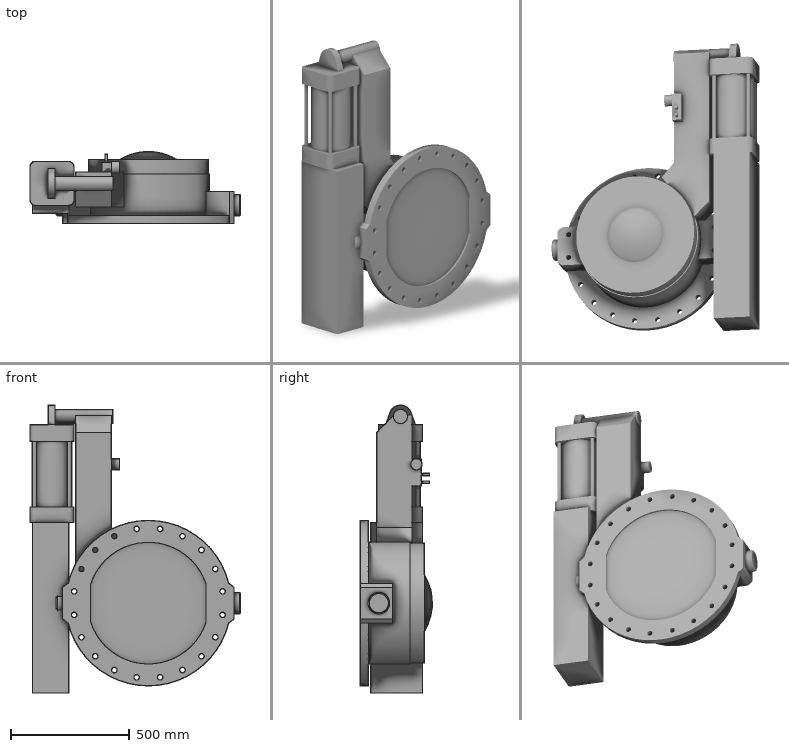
import cadquery as cq
import math


flange_radius = 350
flange_thickness = 35
bolt_circle_radius = 317.5
bolt_hole_diameter = 22
bolt_count = 20
first_hole_angle = 180 / bolt_count
neck_radius = 258
neck_end_y = 210
collar_radius = 254
collar_end_y = 272
recess_radius = 257
recess_half_width = 244
recess_depth = 10
shaft_y = 79
dome_top_y = 306
dome_radius = dome_top_y - shaft_y
lug_reach = 362
lug_half_height = 83
lug_chamfer_run = 20
lug_chamfer_rise = 16
lug_depth = 137
shaft_end_radius = 45.5
shaft_end_reach = 390
shaft_end_chamfer = 5

cylinder_x = -407.5
cylinder_y = 170.5
cap_size = 187
cap_corner_radius = 25
lower_cap_bottom_z = 340
lower_cap_top_z = 407
upper_cap_bottom_z = 684
upper_cap_top_z = 754.74
barrel_radius = 84
rod_radius = 8
rod_offset = 73.5
tab_left_x = -424
tab_right_x = -394
tab_base_half_width = 63

box_left_x = -490
box_right_x = -336
box_front_y = 44
box_back_y = cylinder_y + cap_size / 2
box_bottom_z = -380

arm_left_x = -307
arm_right_x = -156
arm_front_y = 70
arm_back_y = 219
arm_top_z = 795
arm_chamfer = 73
arm_bend_right_z = 320
arm_bend_left_z = 144
foot_right_x = -104
foot_right_z = 258
foot_left_run = 64
pin_radius = 30
pin_z = 789
pin_end_x = -150
tab_top_z = 836.74
tab_tip_radius = tab_top_z - pin_z

switch_left_x = -195
switch_back_y = 259
switch_bottom_z = 496
switch_top_z = 610
knob_radius = 24
knob_y = 238
knob_z = 587
knob_end_x = -122
terminal_x = -178
terminal_heights = (511, 544)
terminal_neck_radius = 4.5
terminal_radius = 6
terminal_neck_end_y = 265
terminal_end_y = 294


def box_between(x_range, y_range, z_range):
    """Block that fills the given ranges along X, Y and Z."""
    size = [end - start for start, end in (x_range, y_range, z_range)]
    corner = (x_range[0], y_range[0], z_range[0])
    return cq.Workplane("XY").box(*size, centered=False).translate(corner)


def rod_along_x(radius, y, z, x_start, x_end):
    return cq.Workplane("YZ", origin=(x_start, y, z)).circle(radius).extrude(x_end - x_start)


def rod_along_y(radius, x, z, y_start, y_end):
    return cq.Workplane("XZ", origin=(x, y_start, z)).circle(radius).extrude(y_start - y_end)


def make_lug_bar():
    """Bar across the flange whose chamfered ends form the two shaft lugs."""
    shoulder_x = lug_reach - lug_chamfer_run
    end_half_height = lug_half_height - lug_chamfer_rise
    quarter = [(shoulder_x, lug_half_height), (lug_reach, end_half_height)]
    right_side = quarter + [(x, -z) for x, z in reversed(quarter)]
    left_side = [(-x, -z) for x, z in right_side]
    return cq.Workplane("XZ").polyline(right_side + left_side).close().extrude(-lug_depth)


def make_dome():
    """Part of the ball, centred on the shaft, that stands out behind the collar."""
    ball = cq.Workplane("XY").sphere(dome_radius).translate((0, shaft_y, 0))
    span = (-dome_radius, dome_radius)
    return ball.intersect(box_between(span, (neck_end_y, dome_top_y), span))


def make_valve_body():
    body = rod_along_y(flange_radius, 0, 0, 0, flange_thickness)
    body = body.union(rod_along_y(neck_radius, 0, 0, 0, neck_end_y))
    body = body.union(rod_along_y(collar_radius, 0, 0, 0, collar_end_y))
    body = body.union(make_lug_bar())
    shaft = rod_along_x(shaft_end_radius, shaft_y, 0, -shaft_end_reach, shaft_end_reach)
    body = body.union(shaft.faces("<X or >X").chamfer(shaft_end_chamfer))
    body = body.union(make_dome())

    recess = rod_along_y(recess_radius, 0, 0, 0, recess_depth).intersect(
        box_between(
            (-recess_half_width, recess_half_width),
            (0, recess_depth),
            (-recess_radius, recess_radius),
        )
    )
    bolt_holes = (
        cq.Workplane("XZ")
        .polarArray(bolt_circle_radius, first_hole_angle, 360, bolt_count)
        .circle(bolt_hole_diameter / 2)
        .extrude(-lug_depth)
    )
    return body.cut(recess).cut(bolt_holes)


def make_switch():
    """Switch box on the back of the arm, with its side knob and two terminals."""
    switch = box_between(
        (switch_left_x, arm_right_x), (arm_back_y, switch_back_y), (switch_bottom_z, switch_top_z)
    )
    switch = switch.union(rod_along_x(knob_radius, knob_y, knob_z, arm_right_x, knob_end_x))
    for z in terminal_heights:
        neck = rod_along_y(terminal_neck_radius, terminal_x, z, switch_back_y, terminal_end_y)
        sleeve = rod_along_y(terminal_radius, terminal_x, z, terminal_neck_end_y, terminal_end_y)
        switch = switch.union(neck).union(sleeve)
    return switch


def make_arm(valve_body):
    """Upright arm whose slanted foot rests on the neck, with the pin and the switch."""
    outline = [
        (arm_left_x, arm_top_z),
        (arm_right_x, arm_top_z),
        (arm_right_x, arm_bend_right_z),
        (foot_right_x, foot_right_z),
        (arm_left_x + foot_left_run, arm_bend_left_z - foot_left_run),
        (arm_left_x, arm_bend_left_z),
    ]
    arm = (
        cq.Workplane("XZ", origin=(0, arm_front_y, 0))
        .polyline(outline)
        .close()
        .extrude(arm_front_y - arm_back_y)
    )
    arm = arm.faces(">Z").edges("<Y").chamfer(arm_chamfer)
    arm = arm.union(rod_along_x(pin_radius, cylinder_y, pin_z, tab_right_x, pin_end_x))
    return arm.union(make_switch()).cut(valve_body)


def make_linkage_box(valve_body):
    """Box below the cylinder, recessed for the lug and the shaft end that enter it."""
    box = box_between(
        (box_left_x, box_right_x), (box_front_y, box_back_y), (box_bottom_z, lower_cap_bottom_z)
    )
    return box.cut(valve_body)


def make_cap(bottom_z, top_z):
    return (
        cq.Workplane("XY", origin=(cylinder_x, cylinder_y, bottom_z))
        .rect(cap_size, cap_size)
        .extrude(top_z - bottom_z)
        .edges("|Z")
        .fillet(cap_corner_radius)
    )


def make_tab():
    """Upright tab with straight sides tangent to a round tip about the pin axis."""
    base_drop = pin_z - upper_cap_top_z
    base_distance = math.hypot(tab_base_half_width, base_drop)
    tangent_angle = math.acos(tab_tip_radius / base_distance) - math.atan2(base_drop, tab_base_half_width)
    tangent_y = tab_tip_radius * math.cos(tangent_angle)
    tangent_z = tab_tip_radius * math.sin(tangent_angle)
    return (
        cq.Workplane("YZ", origin=(tab_left_x, cylinder_y, pin_z))
        .moveTo(-tab_base_half_width, -base_drop)
        .lineTo(-tangent_y, tangent_z)
        .threePointArc((0, tab_tip_radius), (tangent_y, tangent_z))
        .lineTo(tab_base_half_width, -base_drop)
        .close()
        .extrude(tab_right_x - tab_left_x)
    )


def make_upright(x, y, radius):
    """Round body that stands between the two caps."""
    length = upper_cap_bottom_z - lower_cap_top_z
    return cq.Workplane("XY", origin=(x, y, lower_cap_top_z)).circle(radius).extrude(length)


valve_body = make_valve_body()
arm = make_arm(valve_body)
linkage_box = make_linkage_box(valve_body)
lower_cap = make_cap(lower_cap_bottom_z, lower_cap_top_z)
upper_cap = make_cap(upper_cap_bottom_z, upper_cap_top_z).union(make_tab())
barrel = make_upright(cylinder_x, cylinder_y, barrel_radius)

tie_rods = []
for x_side in (-1, 1):
    for y_side in (-1, 1):
        rod_x = cylinder_x + x_side * rod_offset
        rod_y = cylinder_y + y_side * rod_offset
        tie_rods.append(make_upright(rod_x, rod_y, rod_radius).val())

result = cq.Compound.makeCompound([
    valve_body.val(),
    arm.val(),
    linkage_box.val(),
    lower_cap.val(),
    upper_cap.val(),
    barrel.val(),
    *tie_rods,
])